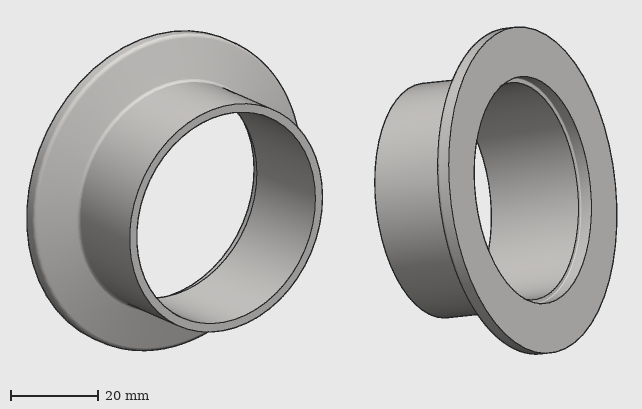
import cadquery as cq
import math

length = 26.0
flange_radius = 37.5
tube_radius = 27.0
bore_radius = 25.0
recess_radius = 26.1
recess_depth = 2.8
rim_width = 2.4
cone_angle = 15.0
rim_fillet = 1.0
neck_fillet = 0.75
recess_fillet = 0.2

slope = math.tan(math.radians(cone_angle))
corner_trim = math.tan(math.radians(90 - cone_angle) / 2)
cone_start = rim_width + rim_fillet * corner_trim
cone_end = cone_start + (flange_radius - tube_radius) * slope


def ring_edge(x, radius):
    """Select the outer circular edge at one axial position."""
    margin = 0.04
    reach = radius + margin
    return cq.selectors.BoxSelector(
        (x - margin, -reach, -reach), (x + margin, reach, reach), boundingbox=True
    )


body = (
    cq.Workplane("XY")
    .polyline([
        (0, 0),
        (0, flange_radius),
        (cone_start, flange_radius),
        (cone_end, tube_radius),
        (length, tube_radius),
        (length, 0),
    ])
    .close()
    .revolve(360, (0, 0, 0), (1, 0, 0))
)
body = body.edges(ring_edge(cone_start, flange_radius)).fillet(rim_fillet)
body = body.edges(ring_edge(cone_end, tube_radius)).fillet(neck_fillet)

bore = cq.Workplane("YZ").circle(bore_radius).extrude(length)
recess = (
    cq.Workplane("YZ")
    .circle(recess_radius)
    .extrude(recess_depth)
    .faces(">X")
    .edges()
    .fillet(recess_fillet)
)
result = body.cut(bore).cut(recess)